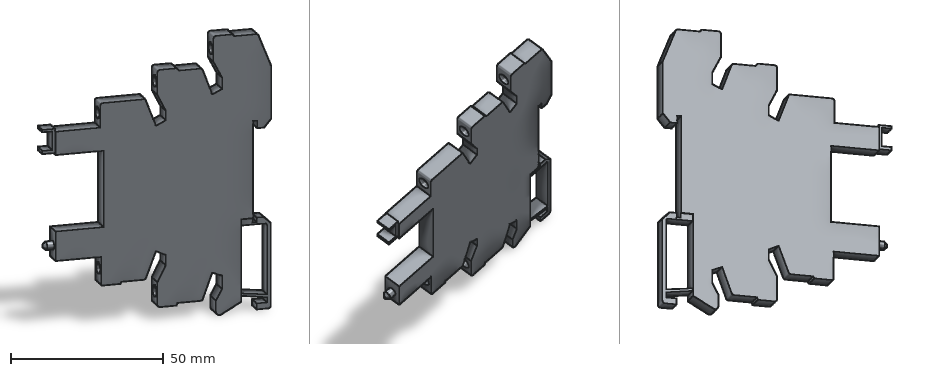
import cadquery as cq
import math


width = 6.2
total_depth = 78.7
total_height = 96.0

spine_depth = 6.3
front_wall_depth = 57.8
arm_end_depth = 74.3
upper_arm_top, upper_arm_bottom = 68.2, 60.1
lower_arm_top, lower_arm_bottom = 33.9, 23.7
edge_radius = 1.0
small_edge_radius = 0.5
step_radius = 0.7

rear_face, middle_face, front_face = 20.0, 39.3, 58.9
lower_front_face = 58.7
upper_middle_top, upper_front_top = 86.1, 76.5
lower_middle_bottom, lower_front_bottom = 4.6, 13.8
upper_rear_shelf, upper_middle_shelf = 95.3, 85.2
lower_middle_shelf, lower_front_shelf = 5.5, 14.5
rear_slope_top = 4.6
rear_slope_bottom = 83.9

rear_step = (13.0, 13.2)
upper_middle_step = (31.8, 32.6)
lower_middle_step = (32.4, 32.6)
lower_front_step = (51.6, 52.0)

rear_notch, middle_notch = 17.0, 36.4
rear_notch_tip, middle_notch_tip = 20.4, 39.7
rear_shelf_end, middle_shelf_end = 23.8, 43.4
upper_rear_notch = (87.2, 81.5, 77.6, 76.0)
upper_middle_notch = (77.6, 71.9, 68.6, 67.0)
lower_rear_notch = (5.1, 8.9, 13.4, 14.8)
lower_middle_notch = (13.2, 18.8, 22.4, 23.9)

hook_inner_depth = 4.9
hook_chamfer_depth = 2.5
hook_top = 65.6
hook_tip = 63.0
hook_shoulder = 65.9

foot_rear, foot_front = 10.4, 19.1
foot_radius = 1.2
foot_angle = math.radians(28.5)
foot_corner = foot_radius * (1 - 1 / math.cos(foot_angle) - math.tan(foot_angle))
foot_rear_bottom = foot_corner + (foot_front - foot_rear) * math.tan(foot_angle)

clip_width = 5.2
clip_top = 32.2
clip_bottom = 0.6
clip_wall = 1.3
clip_slot_floor = 30.6
clip_shoulder = 29.9
clip_toe_top = 2.7
clip_outer_radius = 1.0
clip_inner_radius = 0.7
spring_rear = (4.4, 5.5)
spring_front = (5.8, 6.6)

hole_diameter = 4.0
hole_depth = 9.6
holes = [
    (rear_face, 91.0),
    (middle_face, 81.5),
    (front_face, 72.5),
    (lower_front_face, 19.1),
    (middle_face, 9.4),
]

blade_width = 5.2
blade_web_depth = 75.4
blade_top, blade_upper_inner = 69.0, 68.2
blade_lower_inner, blade_bottom = 61.8, 60.7

pin_height = 28.3
pin_diameter = 3.0
pin_length = 3.6
pin_taper = 1.2
pin_tip_diameter = 1.0


def extrude_outline(points, thickness):
    """Extrude a closed (depth, height) outline evenly about the middle plane of the width."""
    side_plane = cq.Plane(origin=(0, 0, 0), xDir=(0, -1, 0), normal=(-1, 0, 0))
    return cq.Workplane(side_plane).polyline(points).close().extrude(thickness / 2, both=True)


def round_corners(solid, corners, radius):
    """Round the edges that run across the width at the given (depth, height) corners."""
    for depth, height in corners:
        nearest = cq.selectors.NearestToPointSelector((0, -depth, height))
        solid = solid.edges("|X").edges(nearest).fillet(radius)
    return solid


def front_plane(depth, height):
    """Plane facing forward, centred on the width."""
    return cq.Workplane(cq.Plane(origin=(0, -depth, height), xDir=(1, 0, 0), normal=(0, -1, 0)))


def notch_outline(face_depth, wall_depth, tip_depth, heights):
    """Outline points from a front face, back along the undercut and into the notch tip."""
    face_edge, wall_start, wall_end, tip = heights
    return [
        (face_depth, face_edge),
        (wall_depth, wall_start),
        (wall_depth, wall_end),
        (tip_depth, tip),
    ]


def make_body():
    upper_terminals = [
        (0, rear_slope_bottom),
        (rear_slope_top, upper_rear_shelf),
        (rear_step[0], upper_rear_shelf),
        (rear_step[1], total_height),
        (rear_face, total_height),
        *notch_outline(rear_face, rear_notch, rear_notch_tip, upper_rear_notch),
        (rear_shelf_end, upper_middle_shelf),
        (upper_middle_step[0], upper_middle_shelf),
        (upper_middle_step[1], upper_middle_top),
        (middle_face, upper_middle_top),
        *notch_outline(middle_face, middle_notch, middle_notch_tip, upper_middle_notch),
        (middle_shelf_end, upper_front_top),
        (front_face, upper_front_top),
        (front_face, upper_arm_top),
    ]
    arms = [
        (arm_end_depth, upper_arm_top),
        (arm_end_depth, upper_arm_bottom),
        (front_wall_depth, upper_arm_bottom),
        (front_wall_depth, lower_arm_top),
        (arm_end_depth, lower_arm_top),
        (arm_end_depth, lower_arm_bottom),
    ]
    lower_terminals = [
        (lower_front_face, lower_arm_bottom),
        (lower_front_face, lower_front_bottom),
        (lower_front_step[1], lower_front_bottom),
        (lower_front_step[0], lower_front_shelf),
        (middle_shelf_end, lower_front_shelf),
        *reversed(notch_outline(middle_face, middle_notch, middle_notch_tip, lower_middle_notch)),
        (middle_face, lower_middle_bottom),
        (lower_middle_step[1], lower_middle_bottom),
        (lower_middle_step[0], lower_middle_shelf),
        (rear_shelf_end, lower_middle_shelf),
        *reversed(notch_outline(foot_front, rear_notch, rear_notch_tip, lower_rear_notch)),
        (foot_front, foot_corner),
        (foot_rear, foot_rear_bottom),
    ]
    rear = [
        (foot_rear, clip_top),
        (spine_depth, clip_top),
        (spine_depth, hook_top),
        (hook_inner_depth, hook_top),
        (hook_inner_depth, hook_tip),
        (hook_chamfer_depth, hook_tip),
        (0, hook_shoulder),
    ]
    body = extrude_outline(upper_terminals + arms + lower_terminals + rear, width)
    rounded_corners = [
        (rear_slope_top, upper_rear_shelf),
        (rear_face, total_height),
        (rear_shelf_end, upper_middle_shelf),
        (middle_face, upper_middle_top),
        (front_face, upper_front_top),
        (middle_shelf_end, lower_front_shelf),
        (middle_face, lower_middle_bottom),
        (rear_shelf_end, lower_middle_shelf),
    ]
    body = round_corners(body, rounded_corners, edge_radius)
    body = round_corners(body, [(lower_front_face, lower_front_bottom)], small_edge_radius)
    body = round_corners(body, [(rear_step[0], upper_rear_shelf)], step_radius)
    return round_corners(body, [(foot_front, foot_corner)], foot_radius)


def make_clip():
    frame = extrude_outline(
        [
            (foot_rear, clip_top),
            (spine_depth, clip_top),
            (spine_depth, clip_slot_floor),
            (hook_inner_depth, clip_slot_floor),
            (hook_inner_depth, clip_top),
            (hook_chamfer_depth, clip_top),
            (0, clip_shoulder),
            (0, clip_bottom),
            (hook_inner_depth, clip_bottom),
            (hook_inner_depth, clip_toe_top),
            (clip_wall, clip_toe_top),
            (clip_wall, clip_shoulder),
            (foot_rear, clip_shoulder),
        ],
        clip_width,
    )
    frame = round_corners(frame, [(0, clip_bottom)], clip_outer_radius)
    frame = round_corners(frame, [(clip_wall, clip_shoulder)], clip_inner_radius)
    spring = extrude_outline(
        [
            (clip_wall, spring_rear[0]),
            (foot_rear, spring_front[0]),
            (foot_rear, spring_front[1]),
            (clip_wall, spring_rear[1]),
        ],
        clip_width,
    )
    return frame.union(spring)


def make_blade():
    return extrude_outline(
        [
            (arm_end_depth, blade_top),
            (total_depth, blade_top),
            (total_depth, blade_upper_inner),
            (blade_web_depth, blade_upper_inner),
            (blade_web_depth, blade_lower_inner),
            (total_depth, blade_lower_inner),
            (total_depth, blade_bottom),
            (arm_end_depth, blade_bottom),
        ],
        blade_width,
    )


def make_pin():
    straight_length = pin_length - pin_taper
    shank = front_plane(arm_end_depth, pin_height).circle(pin_diameter / 2).extrude(straight_length)
    tip = (
        front_plane(arm_end_depth + straight_length, pin_height)
        .circle(pin_diameter / 2)
        .workplane(offset=pin_taper)
        .circle(pin_tip_diameter / 2)
        .loft()
    )
    return shank.union(tip)


def make_hole(face_depth, height):
    return front_plane(face_depth, height).circle(hole_diameter / 2).extrude(-hole_depth)


result = make_body().union(make_clip()).union(make_blade()).union(make_pin())
for face_depth, height in holes:
    result = result.cut(make_hole(face_depth, height))